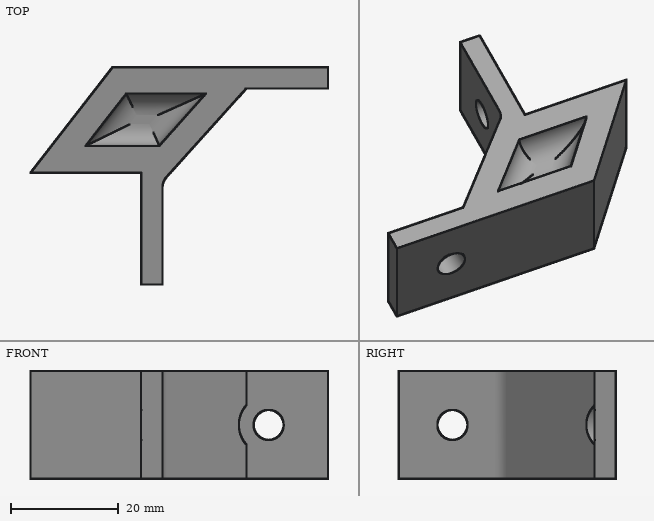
import cadquery as cq
import math

length = 55.25
height = 20.0
block_depth = 19.6
leg_drop = 20.7
plate_thickness = 4.0

block_back_x = 15.25
leg_x = 20.55
leg_inner_x = leg_x + plate_thickness
flange_root_x = 40.05
flange_inner_y = block_depth - plate_thickness
brace_foot_y = -1.6
brace_fillet = 3.0

hole_diameter = 5.5
flange_hole_x = 44.2
leg_hole_y = -10.7
clearance_diameter = 11.05

pocket_depth = 4.0
pocket_corners = [(10.3, 5.05), (23.9, 5.05), (32.55, 14.7), (17.8, 14.7)]


def make_body():
    return (
        cq.Workplane("XY")
        .moveTo(0, 0)
        .lineTo(leg_x, 0)
        .lineTo(leg_x, -leg_drop)
        .lineTo(leg_inner_x, -leg_drop)
        .lineTo(leg_inner_x, brace_foot_y)
        .lineTo(flange_root_x, flange_inner_y)
        .lineTo(length, flange_inner_y)
        .lineTo(length, block_depth)
        .lineTo(block_back_x, block_depth)
        .close()
        .extrude(height)
        .edges(cq.selectors.NearestToPointSelector((leg_inner_x, brace_foot_y, height / 2)))
        .fillet(brace_fillet)
    )


def space_inside_wall(start, end):
    """Space on the inner (left) side of one pocket edge, with a concave round rising to it."""
    run_x = end[0] - start[0]
    run_y = end[1] - start[1]
    edge_length = math.hypot(run_x, run_y)
    wall_plane = cq.Plane(
        origin=(start[0], start[1], height),
        xDir=(-run_y, run_x, 0),
        normal=(run_x, run_y, 0),
    )
    round_middle = pocket_depth * (1 - math.sqrt(0.5))
    return (
        cq.Workplane(wall_plane)
        .workplane(offset=-length)
        .moveTo(0, 0)
        .threePointArc((round_middle, round_middle - pocket_depth), (pocket_depth, -pocket_depth))
        .lineTo(length, -pocket_depth)
        .lineTo(length, 0)
        .close()
        .extrude(edge_length + 2 * length)
    )


def make_pocket():
    next_corners = pocket_corners[1:] + pocket_corners[:1]
    walls = [space_inside_wall(start, end) for start, end in zip(pocket_corners, next_corners)]
    pocket = walls[0]
    for wall in walls[1:]:
        pocket = pocket.intersect(wall)
    return pocket


def cylinder_along(direction, start, diameter, depth):
    return cq.Workplane(cq.Solid.makeCylinder(diameter / 2, depth, cq.Vector(*start), cq.Vector(*direction)))


flange_face = (flange_hole_x, flange_inner_y, height / 2)
flange_hole = cylinder_along((0, 1, 0), flange_face, hole_diameter, plate_thickness)
head_clearance = cylinder_along((0, -1, 0), flange_face, clearance_diameter, flange_inner_y)

leg_hole = cylinder_along((1, 0, 0), (leg_x, leg_hole_y, height / 2), hole_diameter, plate_thickness)

result = make_body().cut(make_pocket()).cut(flange_hole).cut(head_clearance).cut(leg_hole)